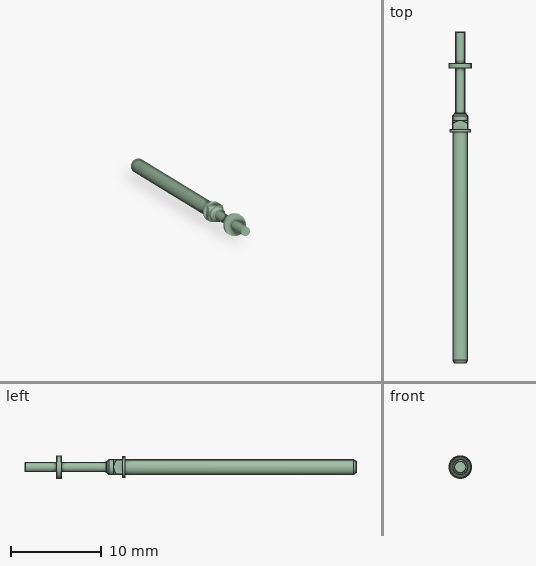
import cadquery as cq

LENGTH = 36.5
BACK_END = LENGTH / 2
FRONT_END = -LENGTH / 2

ROD_DIAMETER = 1.02
DISC_DIAMETER = 2.5
NOSE_DIAMETER = 1.25
NECK_DIAMETER = 1.68
BODY_DIAMETER = 1.65
COLLAR_DIAMETER = 2.3

DISC_START = 3.45
NOSE_START = 8.9
FLATS_START = 9.75
COLLAR_START = 10.73

DISC_THICKNESS = 0.5
NOSE_RIM = 0.1
NOSE_TAPER = 0.22
COLLAR_THICKNESS = 0.3
TIP_TAPER_LENGTH = 0.33
TIP_TAPER_DEPTH = 0.2

ACROSS_FLATS = NECK_DIAMETER
FLAT_COUNT = 4


def cylinder(diameter, start, length):
    """Cylinder on the Y axis, running toward -Y from a given distance in front of the back end."""
    plane = cq.Workplane("XZ", origin=(0, BACK_END - start, 0))
    return plane.circle(diameter / 2).extrude(length)


def make_rod():
    return cylinder(ROD_DIAMETER, 0, NOSE_START + NOSE_RIM)


def make_disc():
    return cylinder(DISC_DIAMETER, DISC_START, DISC_THICKNESS)


def make_nose_and_body():
    """Revolved nose and barrel: tapered nose, neck, shoulder, collar, long barrel and tapered tip."""
    nose_radius = NOSE_DIAMETER / 2
    neck_radius = NECK_DIAMETER / 2
    body_radius = BODY_DIAMETER / 2
    collar_radius = COLLAR_DIAMETER / 2

    nose_y = BACK_END - NOSE_START
    taper_y = nose_y - NOSE_RIM
    flats_y = BACK_END - FLATS_START
    shoulder_y = flats_y - (collar_radius - neck_radius)
    collar_front_y = BACK_END - COLLAR_START - COLLAR_THICKNESS

    return (
        cq.Workplane("YZ")
        .moveTo(nose_y, 0)
        .lineTo(nose_y, nose_radius)
        .lineTo(taper_y, nose_radius)
        .lineTo(taper_y - NOSE_TAPER, neck_radius)
        .lineTo(flats_y, neck_radius)
        .lineTo(shoulder_y, collar_radius)
        .lineTo(collar_front_y, collar_radius)
        .lineTo(collar_front_y, body_radius)
        .lineTo(FRONT_END + TIP_TAPER_LENGTH, body_radius)
        .lineTo(FRONT_END, body_radius - TIP_TAPER_DEPTH)
        .lineTo(FRONT_END, 0)
        .close()
        .revolve(360, (0, 0), (1, 0))
    )


def cut_flats(part):
    """Cut the flats, facing +X, -X, +Z and -Z, from the shoulder up to the collar."""
    length = COLLAR_START - FLATS_START
    depth = (COLLAR_DIAMETER - ACROSS_FLATS) / 2
    cutter = cq.Workplane("XY").box(COLLAR_DIAMETER, length, depth)
    cutter = cutter.translate((0, BACK_END - FLATS_START - length / 2, (ACROSS_FLATS + depth) / 2))
    for i in range(FLAT_COUNT):
        part = part.cut(cutter.rotate((0, 0, 0), (0, 1, 0), i * 360 / FLAT_COUNT))
    return part


body = cut_flats(make_nose_and_body())
result = body.union(make_rod()).union(make_disc())